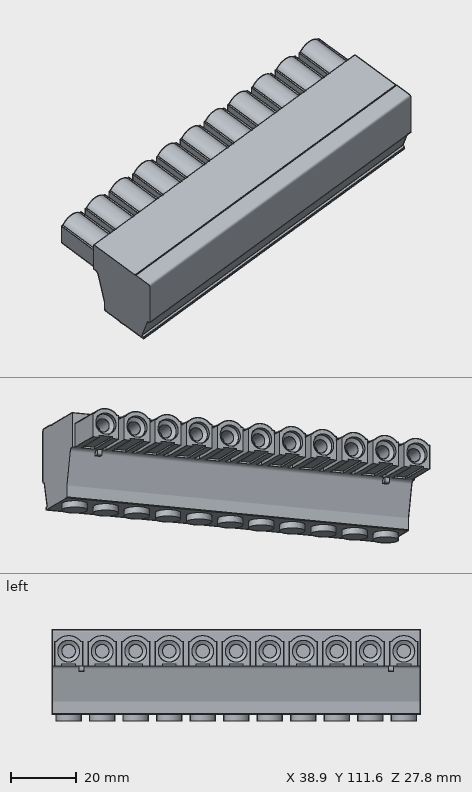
import cadquery as cq
import math

pole_count = 11
pole_pitch = 10.16
end_margin = 5.0
body_length = (pole_count - 1) * pole_pitch + 2 * end_margin

body_depth = 24.4
body_height = 25.8
step_x = 17.9
step_height = 0.18
step_run = 0.4
front_top_radius = 0.6
rear_top_radius = 0.8
overhang_z = 14.75
front_foot_x = 4.7
front_foot_chamfer = 0.25
front_foot_height = 3.8
front_slope_angle = 15.0
front_corner_radius = 1.3
rear_ledge_z = 8.9
rear_ledge_x = 23.3
rear_ledge_radius = 0.9
rear_groove_x = 20.9
rear_groove_z = 1.1
rear_lip_x = 21.6
rear_lip_height = 0.8

sleeve_length = 14.5
sleeve_tip_width = 8.4
sleeve_root_width = 8.6
sleeve_bottom_z = overhang_z
sleeve_axis_z = 19.2
sleeve_crown_radius = 4.7
sleeve_shoulder_z = 22.15
sleeve_groove_width = 4.2
sleeve_groove_depth = 0.6

mouth_diameter = 6.6
bore_diameter = 4.1
mouth_depth = 1.6
mouth_cone_depth = 0.8
bore_depth = 10.0

screw_x = 10.85
screw_diameter = 7.7
screw_height = 2.0

tab_offset_y = 46.95
tab_width = 1.5
tab_depth = 2.2
tab_height = 1.65
tab_radius = 0.5


def make_body():
    slope_run = (overhang_z - front_foot_height) * math.tan(math.radians(front_slope_angle))
    overhang_x = front_foot_x - slope_run
    outline = [
        (0, overhang_z),
        (overhang_x, overhang_z),
        (front_foot_x, front_foot_height),
        (front_foot_x, front_foot_chamfer),
        (front_foot_x + front_foot_chamfer, 0),
        (rear_lip_x, 0),
        (rear_lip_x, rear_lip_height),
        (rear_groove_x, rear_groove_z),
        (rear_ledge_x, rear_ledge_z),
        (body_depth, rear_ledge_z),
        (body_depth, body_height),
        (step_x + step_run, body_height),
        (step_x, body_height - step_height),
        (0, body_height - step_height),
    ]
    body = (
        cq.Workplane("XZ", origin=(0, body_length / 2, 0))
        .polyline(outline)
        .close()
        .extrude(body_length)
    )

    def edge_at(x, z):
        return cq.selectors.NearestToPointSelector((x, 0, z))

    body = body.edges(edge_at(overhang_x, overhang_z)).fillet(front_corner_radius)
    body = body.edges(edge_at(body_depth, rear_ledge_z)).fillet(rear_ledge_radius)
    body = body.edges(edge_at(0, body_height - step_height)).fillet(front_top_radius)
    return body.edges(edge_at(body_depth, body_height)).fillet(rear_top_radius)


def make_sleeve():
    """One sleeve on Y = 0: straight crown, sides flaring towards the body, open at the tip."""
    shank = (
        cq.Workplane("XY", origin=(0, 0, sleeve_bottom_z))
        .polyline(
            [
                (-sleeve_length, -sleeve_tip_width / 2),
                (0, -sleeve_root_width / 2),
                (0, sleeve_root_width / 2),
                (-sleeve_length, sleeve_tip_width / 2),
            ]
        )
        .close()
        .extrude(sleeve_shoulder_z - sleeve_bottom_z)
    )
    tip = cq.Workplane("YZ", origin=(-sleeve_length, 0, 0))
    crown_half_width = math.sqrt(
        sleeve_crown_radius**2 - (sleeve_shoulder_z - sleeve_axis_z) ** 2
    )
    crown = (
        tip.moveTo(-crown_half_width, sleeve_shoulder_z)
        .threePointArc(
            (0, sleeve_axis_z + sleeve_crown_radius),
            (crown_half_width, sleeve_shoulder_z),
        )
        .close()
        .extrude(sleeve_length)
    )
    groove = (
        tip.center(0, sleeve_bottom_z)
        .rect(sleeve_groove_width, 2 * sleeve_groove_depth)
        .extrude(sleeve_length)
    )
    return shank.union(crown).cut(groove).cut(make_bore())


def make_bore():
    """Wide mouth at the tip, tapering through a short cone into a narrower bore."""
    profile = [
        (0, 0),
        (mouth_diameter / 2, 0),
        (mouth_diameter / 2, mouth_depth),
        (bore_diameter / 2, mouth_depth + mouth_cone_depth),
        (bore_diameter / 2, bore_depth),
        (0, bore_depth),
    ]
    return (
        cq.Workplane("XY")
        .polyline(profile)
        .close()
        .revolve(360, (0, 0), (0, 1))
        .rotate((0, 0, 0), (0, 0, 1), -90)
        .translate((-sleeve_length, 0, sleeve_axis_z))
    )


def make_screw_head():
    return (
        cq.Workplane("XY", origin=(screw_x, 0, -screw_height))
        .circle(screw_diameter / 2)
        .extrude(screw_height)
    )


def make_tab():
    return (
        cq.Workplane("XY", origin=(tab_depth / 2, 0, overhang_z - tab_height))
        .rect(tab_depth, tab_width)
        .extrude(tab_height)
        .edges("|Y and <Z")
        .fillet(tab_radius)
    )


result = make_body()
sleeve = make_sleeve()
screw_head = make_screw_head()
for index in range(pole_count):
    pole_y = (index - (pole_count - 1) / 2) * pole_pitch
    result = result.union(sleeve.translate((0, pole_y, 0)))
    result = result.union(screw_head.translate((0, pole_y, 0)))
for side in (-1, 1):
    result = result.union(make_tab().translate((0, side * tab_offset_y, 0)))